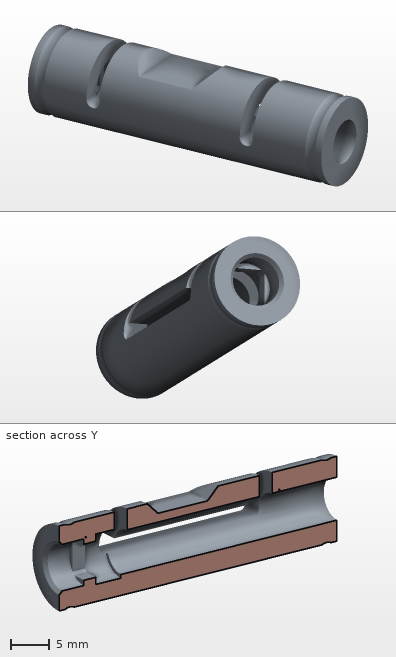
import cadquery as cq

length = 45.0
diameter = 12.0
radius = diameter / 2

groove_end_distance = 1.0
groove_width = 1.5
groove_depth = 0.2

mouth_diameter = 7.45
entry_diameter = 6.5
square_side = 5.0
square_start = 4.0
chamber_start = 6.0
chamber_end = 10.0
chamber_diameter = 7.0
bore_diameter = 6.0

slot_width = 2.0
slot_floor_center_z = 0.0
slot_centers = (10.0, 33.5)

slit_height = slot_width

flat_center_x = 20.02
flat_length = 8.0
flat_depth = 1.7
flat_z = radius - flat_depth

clear_length = 2 * diameter


def cylinder_along_x(start, end, cylinder_diameter):
    return cq.Workplane("YZ", origin=(start, 0, 0)).circle(cylinder_diameter / 2).extrude(end - start)


def ring_groove(center_x):
    half_width = groove_width / 2
    return (
        cq.Workplane("XY")
        .moveTo(center_x - half_width, radius)
        .threePointArc((center_x, radius - groove_depth), (center_x + half_width, radius))
        .lineTo(center_x + half_width, diameter)
        .lineTo(center_x - half_width, diameter)
        .close()
        .revolve(360, (0, 0, 0), (1, 0, 0))
    )


def stepped_bore():
    chamfer = (mouth_diameter - entry_diameter) / 2
    mouth = (
        cq.Workplane("XY")
        .moveTo(0, 0)
        .lineTo(0, mouth_diameter / 2)
        .lineTo(chamfer, entry_diameter / 2)
        .lineTo(chamfer, 0)
        .close()
        .revolve(360, (0, 0, 0), (1, 0, 0))
    )
    entry = cylinder_along_x(0, square_start, entry_diameter)
    square = (
        cq.Workplane("YZ", origin=(square_start, 0, 0))
        .rect(square_side, square_side)
        .extrude(chamber_start - square_start)
    )
    square = square.intersect(cylinder_along_x(square_start, chamber_start, entry_diameter))
    chamber = cylinder_along_x(chamber_start, chamber_end, chamber_diameter)
    through_bore = cylinder_along_x(chamber_end, length, bore_diameter)
    return mouth.union(entry).union(square).union(chamber).union(through_bore)


def cross_slot(center_x):
    half_width = slot_width / 2
    return (
        cq.Workplane("XZ")
        .moveTo(center_x - half_width, diameter)
        .lineTo(center_x - half_width, slot_floor_center_z)
        .threePointArc(
            (center_x, slot_floor_center_z - half_width),
            (center_x + half_width, slot_floor_center_z),
        )
        .lineTo(center_x + half_width, diameter)
        .close()
        .extrude(clear_length / 2, both=True)
    )


def side_slit():
    start, end = slot_centers
    return (
        cq.Workplane("XY", origin=(start, 0, slot_floor_center_z))
        .box(end - start, diameter, slit_height, centered=(False, False, True))
    )


def top_flat():
    half_bottom = flat_length / 2
    half_top = half_bottom + flat_depth
    return (
        cq.Workplane("XZ")
        .moveTo(flat_center_x - half_top, radius)
        .lineTo(flat_center_x - half_bottom, flat_z)
        .lineTo(flat_center_x + half_bottom, flat_z)
        .lineTo(flat_center_x + half_top, radius)
        .close()
        .extrude(clear_length / 2, both=True)
    )


result = cylinder_along_x(0, length, diameter)
groove_offset = groove_end_distance + groove_width / 2
for groove_x in (groove_offset, length - groove_offset):
    result = result.cut(ring_groove(groove_x))
result = result.cut(stepped_bore())
for slot_x in slot_centers:
    result = result.cut(cross_slot(slot_x))
result = result.cut(side_slit()).cut(top_flat())